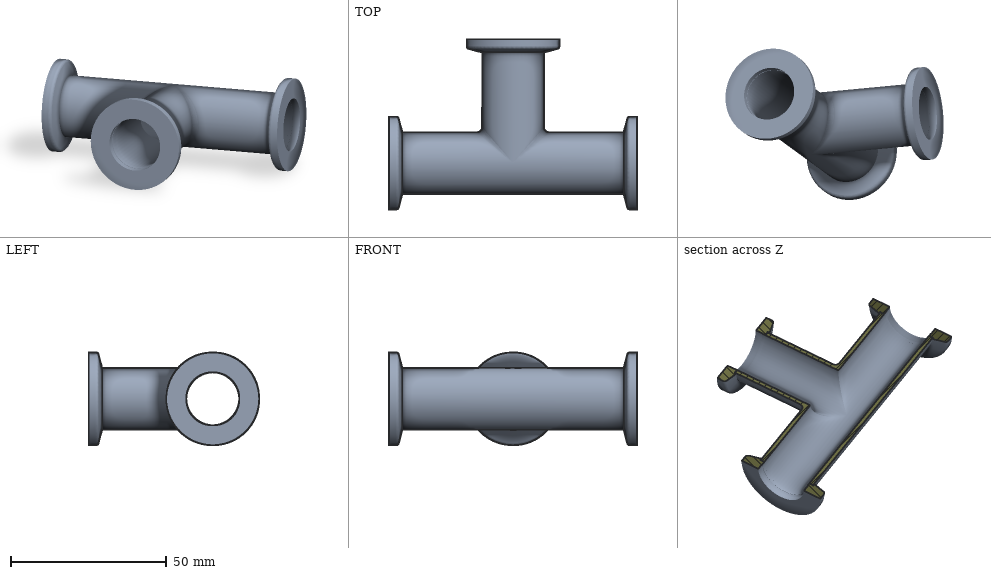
import cadquery as cq
import math

run_half_length = 40.0
branch_length = 40.0

tube_radius = 20.0 / 2
tube_bore_radius = 17.0 / 2
weld_fillet_radius = 1.5

flange_radius = 30.0 / 2
mouth_radius = 17.2 / 2
mouth_depth = 2.5
lip_radius = tube_bore_radius
socket_radius = 20.2 / 2
socket_floor = 3.5
rim_thickness = 3.0
cone_angle = 15.0
rim_fillet_radius = 1.0
cone_rise = (flange_radius - socket_radius) * math.tan(math.radians(cone_angle))
flange_thickness = rim_thickness + cone_rise

tube_half_length = run_half_length - socket_floor
tube_branch_length = branch_length - socket_floor


def make_run_and_branch(radius):
    """Solid run along X joined to a solid branch along +Y, both of one radius."""
    run = cq.Workplane("YZ").circle(radius).extrude(tube_half_length, both=True)
    branch = cq.Workplane("XZ").circle(radius).extrude(-tube_branch_length)
    return run.union(branch)


def make_tee():
    """Bored tube tee, blended along the seam between run and branch."""
    outside = make_run_and_branch(tube_radius)
    blended = outside.edges("%ELLIPSE").fillet(weld_fillet_radius)
    return blended.cut(make_run_and_branch(tube_bore_radius))


def make_flange():
    """Flange about the Z axis, sealing face at Z = 0 and back towards +Z."""
    profile = (
        cq.Workplane("XZ")
        .moveTo(mouth_radius, 0)
        .lineTo(flange_radius, 0)
        .lineTo(flange_radius, rim_thickness)
        .lineTo(socket_radius, flange_thickness)
        .lineTo(socket_radius, socket_floor)
        .lineTo(lip_radius, socket_floor)
        .lineTo(lip_radius, mouth_depth)
        .lineTo(mouth_radius, mouth_depth)
        .close()
    )
    flange = profile.revolve(360, (0, 0, 0), (0, 1, 0))
    rim = flange.edges(cq.selectors.RadiusNthSelector(-1)).edges(">Z")
    return rim.fillet(rim_fillet_radius)


tee = make_tee()

flange = make_flange()
left_flange = flange.rotate((0, 0, 0), (0, 1, 0), 90).translate((-run_half_length, 0, 0))
right_flange = flange.rotate((0, 0, 0), (0, 1, 0), -90).translate((run_half_length, 0, 0))
branch_flange = flange.rotate((0, 0, 0), (1, 0, 0), 90).translate((0, branch_length, 0))

result = cq.Compound.makeCompound(
    [tee.val(), left_flange.val(), right_flange.val(), branch_flange.val()]
)